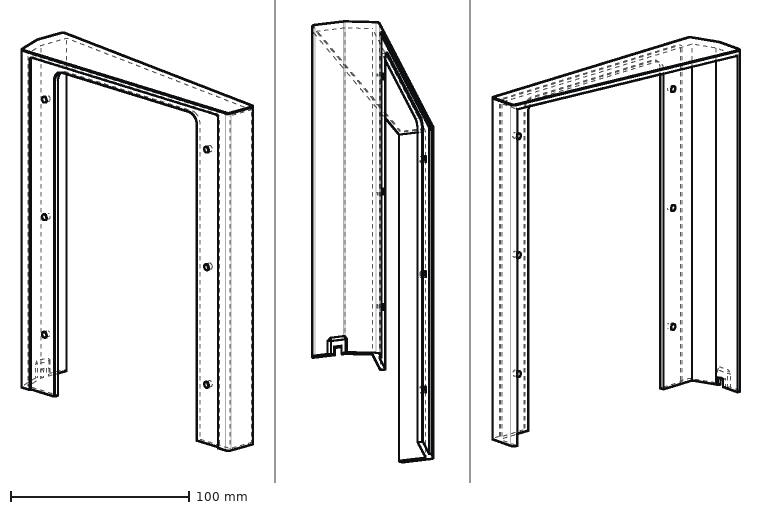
import cadquery as cq
import math

height = 201.0

back_tilt = math.radians(6.5)
front_left_x = 5.0
front_right_x = 164.8
left_ridge_y = 18.9
right_back_y = 19.5
corner_radius = 2.2
top_chamfer = 0.5

frame_centre_x = 84.6

wall = 3.0
front_thickness = 4.2
back_clearance = 20.0

recess_width = 145.1
recess_depth = 1.2
recess_margin_top = 2.8
recess_corner_radius = 2.0

opening_width = 109.0
opening_margin_top = 7.0
opening_corner_radius = 6.0
opening_chamfer = 0.5

hole_diameter = 3.5
hole_spacing_x = 124.6
hole_pitch_z = 70.0
lowest_hole_z = 35.0
holes_per_leg = 3

pocket_depth = 1.0
pocket_y = 22.7
pocket_width = 11.9
pocket_height = 9.6
pocket_flank = 1.6
pocket_corner_cut = 1.8
floor_corner_cut = 0.1
notch_y = 23.0
notch_width = 4.2
notch_height = 4.5
notch_reach = 10.0


def footprint(back_extension=0.0):
    """Outline seen from above with sharp corners; the back can be pushed out along the sides."""
    slope = math.tan(back_tilt)
    right_back_x = front_right_x + right_back_y * slope
    left_side_rise = (right_back_y + right_back_x * slope - left_ridge_y) / (1 + slope**2)
    shift_x = back_extension * math.sin(back_tilt)
    shift_y = back_extension * math.cos(back_tilt)
    return [
        (front_left_x, 0),
        (front_right_x, 0),
        (right_back_x + shift_x, right_back_y + shift_y),
        (left_side_rise * slope + shift_x, left_ridge_y + left_side_rise + shift_y),
        (0, left_ridge_y),
    ]


def front_portal(portal_width, top_z, top_corner_radius, portal_depth):
    """Block behind the front plane, standing on the ground, with rounded upper corners."""
    block = cq.Workplane("XY").box(portal_width, portal_depth, top_z, centered=(True, False, False))
    return block.edges("|Y and >Z").fillet(top_corner_radius).translate((frame_centre_x, 0, 0))


def shell():
    """Outer walls, top and front plate, open at the back and at the bottom."""
    body = cq.Workplane("XY").polyline(footprint()).close().extrude(height)
    body = body.edges("|Z").fillet(corner_radius)
    body = body.faces(">Z").chamfer(top_chamfer)
    inside = (
        cq.Workplane("XY")
        .polyline(footprint(back_extension=back_clearance))
        .close()
        .offset2D(-wall)
        .extrude(height - wall)
    )
    front_plate = cq.Workplane("XY").box(front_right_x, front_thickness, height, centered=False)
    return body.cut(inside.cut(front_plate))


def front_recess():
    """Shallow step that leaves a raised rim along the sides and top of the front."""
    return front_portal(recess_width, height - recess_margin_top, recess_corner_radius, recess_depth)


def opening():
    """Gap between the legs, widened by a chamfer where it meets the recess floor."""
    top_z = height - opening_margin_top
    gap = front_portal(opening_width, top_z, opening_corner_radius, front_thickness)
    mouth = front_portal(
        opening_width + 2 * opening_chamfer,
        top_z + opening_chamfer,
        opening_corner_radius + opening_chamfer,
        recess_depth + opening_chamfer,
    )
    flare = mouth.faces(">Y").edges("not <Z").chamfer(opening_chamfer)
    return gap.union(flare)


def screw_holes():
    """Three holes through the front plate of each leg."""
    points = []
    for side in (-1, 1):
        hole_x = frame_centre_x + side * hole_spacing_x / 2
        for level in range(holes_per_leg):
            points.append((hole_x, lowest_hole_z + level * hole_pitch_z))
    return cq.Workplane("XZ").pushPoints(points).circle(hole_diameter / 2).extrude(-front_thickness)


def pocket_outline(outline_width, top_z, corner_cut):
    """Points of a rectangle with cut upper corners, centred on the pocket, on the left face."""
    half = outline_width / 2
    return [
        (-half, 0),
        (half, 0),
        (half, top_z - corner_cut),
        (half - corner_cut, top_z),
        (corner_cut - half, top_z),
        (-half, top_z - corner_cut),
    ]


def cable_pocket():
    """Shallow pocket with sloping flanks, its floor parallel to the upper left side."""
    rim = pocket_outline(pocket_width, pocket_height, pocket_corner_cut)
    floor = pocket_outline(pocket_width - 2 * pocket_flank, pocket_height - pocket_flank, floor_corner_cut)
    side_x = (pocket_y - left_ridge_y) * math.tan(back_tilt)
    inward = (math.cos(back_tilt), -math.sin(back_tilt), 0)
    along = (math.sin(back_tilt), math.cos(back_tilt), 0)
    side = cq.Workplane(cq.Plane((side_x, pocket_y, 0), along, inward))
    rim_wire = side.polyline(rim).close()
    return rim_wire.workplane(offset=pocket_depth).polyline(floor).close().loft(ruled=True)


def cable_notch():
    """Slot through the left wall from the floor of the pocket."""
    notch = cq.Workplane("XY").box(notch_reach, notch_width, notch_height, centered=(False, True, False))
    return notch.translate((0, notch_y, 0))


result = (
    shell()
    .cut(front_recess())
    .cut(opening())
    .cut(screw_holes())
    .cut(cable_pocket())
    .cut(cable_notch())
)